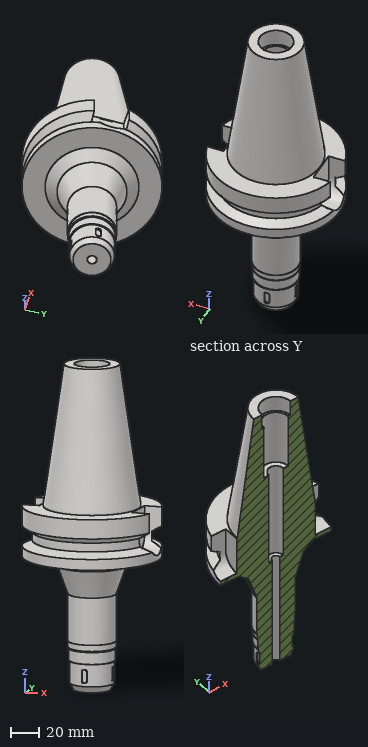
import cadquery as cq

total_height = 236.8
nose_chamfer_top = 5.0
nose_top = 21.3
collar_bottom = 31.0
collar_chamfer_height = 1.0
collar_top = 35.5
neck_top = 69.9
neck_cone_top = 90.5
flange_bottom = 96.9
lower_rim_top = 104.7
groove_floor_bottom = 108.7
groove_floor_top = 115.0
upper_rim_bottom = 119.5
flange_top = 133.5
gauge_line = 135.0

nose_end_radius = 13.5
nose_radius = 16.0
nose_step_radius = 16.8
collar_radius = 17.3
neck_radius = 17.5
neck_cone_radius = 24.9
flange_cone_radius = 33.5
flange_radius = 50.0
groove_radius = 42.6
gauge_radius = 34.8
taper_end_radius = 20.1

counterbore_radius = 12.5
counterbore_depth = 13.0
thread_bore_radius = 10.7
thread_bore_depth = 59.2
middle_bore_radius = 6.5
middle_bore_depth = total_height - flange_bottom
through_bore_radius = 3.3

drive_slot_width = 25.8
drive_slot_floor = 35.3
drive_slot_bottom = 101.0

recess_count = 4
recess_width = 4.0
recess_length = 10.0
recess_depth = 1.2
recess_center_height = 12.3


def make_body():
    """Revolve the outer profile around Z."""
    profile = [
        (0, 0),
        (nose_end_radius, 0),
        (nose_radius, nose_chamfer_top),
        (nose_radius, nose_top),
        (nose_step_radius, nose_top),
        (nose_step_radius, collar_bottom - collar_chamfer_height),
        (collar_radius, collar_bottom),
        (collar_radius, collar_top),
        (neck_radius, collar_top),
        (neck_radius, neck_top),
        (neck_cone_radius, neck_cone_top),
        (flange_cone_radius, flange_bottom),
        (flange_radius, flange_bottom),
        (flange_radius, lower_rim_top),
        (groove_radius, groove_floor_bottom),
        (groove_radius, groove_floor_top),
        (flange_radius, upper_rim_bottom),
        (flange_radius, flange_top),
        (gauge_radius, flange_top),
        (gauge_radius, gauge_line),
        (taper_end_radius, total_height),
        (0, total_height),
    ]
    return cq.Workplane("XZ").polyline(profile).close().revolve(360, (0, 0), (0, 1))


def make_bore(radius, depth):
    """Cylinder reaching down from the small end of the taper."""
    return cq.Workplane("XY").workplane(offset=total_height - depth).circle(radius).extrude(depth)


def make_drive_slot():
    """Round-bottomed slot on the +X side, open at the top of the flange."""
    half_width = drive_slot_width / 2
    arc_height = drive_slot_bottom + half_width
    return (
        cq.Workplane("YZ")
        .workplane(offset=drive_slot_floor)
        .moveTo(-half_width, flange_top)
        .lineTo(-half_width, arc_height)
        .threePointArc((0, drive_slot_bottom), (half_width, arc_height))
        .lineTo(half_width, flange_top)
        .close()
        .extrude(flange_radius - drive_slot_floor)
    )


def make_recess():
    """Shallow upright slot in the +X side of the nose."""
    return (
        cq.Workplane("YZ")
        .workplane(offset=nose_radius - recess_depth)
        .center(0, recess_center_height)
        .slot2D(recess_length, recess_width, 90)
        .extrude(2 * recess_depth)
    )


def around_axis(shape, count):
    """Copies of a shape spaced evenly around Z."""
    return [shape.rotate((0, 0, 0), (0, 0, 1), 360 / count * i) for i in range(count)]


bores = [
    make_bore(counterbore_radius, counterbore_depth),
    make_bore(thread_bore_radius, thread_bore_depth),
    make_bore(middle_bore_radius, middle_bore_depth),
    make_bore(through_bore_radius, total_height),
]

result = make_body()
for cutter in bores + around_axis(make_drive_slot(), 2) + around_axis(make_recess(), recess_count):
    result = result.cut(cutter)